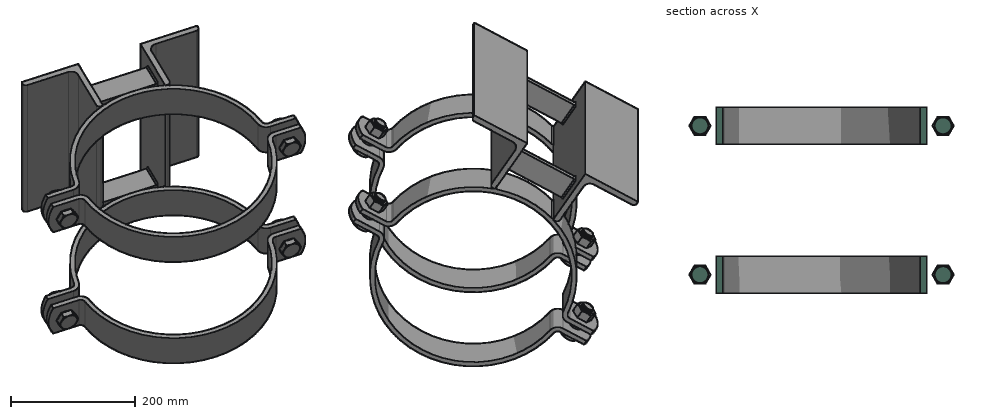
import cadquery as cq
import math

TOTAL_LENGTH_X = 424.0
TOTAL_WIDTH_Y = 452.0
TOTAL_HEIGHT = 300.0

STRAP_OUTER_RADIUS = 167.0
STRAP_THICKNESS = 8.0
STRAP_WIDTH = 60.0
LUG_GAP = 13.5
LUG_BEND_RADIUS = STRAP_THICKNESS
LUG_END_RADIUS = STRAP_WIDTH

BOLT_DIAMETER = 20.0
BOLT_TIP_DIAMETER = 18.5
BOLT_TIP_CHAMFER = 2.0
BOLT_OVERHANG = 4.5
BOLT_EDGE_DISTANCE = STRAP_WIDTH / 2
HEX_ACROSS_FLATS = 30.0
HEX_CHAMFER_SLOPE = math.tan(math.radians(30))
HEAD_HEIGHT = 11.5
HEAD_FACE_DIAMETER = 29.5
WASHER_FACE_DIAMETER = 27.5
WASHER_FACE_HEIGHT = 1.5
NUT_HEIGHT = 16.0
NUT_FACE_DIAMETER = 27.5

ANGLE_LEG = 100.0
ANGLE_THICKNESS = 10.0
ANGLE_ROOT_RADIUS = 12.0
ANGLE_TOE_RADIUS = 6.0
ANGLE_GAP = 109.5

BAR_WIDTH = 40.0
BAR_THICKNESS = 10.0
BAR_SETBACK = 30.0
WELD_LEG = 2.5

STRAP_INNER_RADIUS = STRAP_OUTER_RADIUS - STRAP_THICKNESS
BACK_X = STRAP_OUTER_RADIUS - TOTAL_LENGTH_X
LUG_TIP_Y = TOTAL_WIDTH_Y / 2
BOLT_Y = LUG_TIP_Y - BOLT_EDGE_DISTANCE
LUG_INNER_X = LUG_GAP / 2
LUG_OUTER_X = LUG_INNER_X + STRAP_THICKNESS
ANGLE_FACE_Y = ANGLE_GAP / 2
STRAP_LEVELS = (STRAP_WIDTH / 2, TOTAL_HEIGHT - STRAP_WIDTH / 2)


def bend_points(bend_x, bend_y, radius, end_angle):
    """Start, middle and end of a lug bend, from the lug face to the ring."""
    angles = (math.pi, (math.pi + end_angle) / 2, end_angle)
    return [(bend_x + radius * math.cos(a), bend_y + radius * math.sin(a)) for a in angles]


def strap_half():
    """Half ring on the +X side with a bent, round-ended lug at each end, centred on Z = 0."""
    bend_x = LUG_OUTER_X + LUG_BEND_RADIUS
    bend_y = math.sqrt((STRAP_OUTER_RADIUS + LUG_BEND_RADIUS) ** 2 - bend_x**2)
    ring_angle = math.pi + math.atan2(bend_y, bend_x)
    outer = bend_points(bend_x, bend_y, LUG_BEND_RADIUS, ring_angle)
    inner = bend_points(bend_x, bend_y, LUG_BEND_RADIUS + STRAP_THICKNESS, ring_angle)
    mirrored_outer = [(x, -y) for x, y in outer]
    mirrored_inner = [(x, -y) for x, y in inner]
    body = (
        cq.Workplane("XY")
        .moveTo(LUG_OUTER_X, LUG_TIP_Y)
        .lineTo(*outer[0])
        .threePointArc(outer[1], outer[2])
        .threePointArc((STRAP_OUTER_RADIUS, 0), mirrored_outer[2])
        .threePointArc(mirrored_outer[1], mirrored_outer[0])
        .lineTo(LUG_OUTER_X, -LUG_TIP_Y)
        .lineTo(LUG_INNER_X, -LUG_TIP_Y)
        .lineTo(*mirrored_inner[0])
        .threePointArc(mirrored_inner[1], mirrored_inner[2])
        .threePointArc((STRAP_INNER_RADIUS, 0), inner[2])
        .threePointArc(inner[1], inner[0])
        .lineTo(LUG_INNER_X, LUG_TIP_Y)
        .close()
        .extrude(STRAP_WIDTH / 2, both=True)
    )
    half_width = STRAP_WIDTH / 2
    corner_y = LUG_TIP_Y - LUG_END_RADIUS + math.sqrt(LUG_END_RADIUS**2 - half_width**2)
    side_outline = (
        cq.Workplane("YZ")
        .moveTo(-corner_y, -half_width)
        .lineTo(corner_y, -half_width)
        .threePointArc((LUG_TIP_Y, 0), (corner_y, half_width))
        .lineTo(-corner_y, half_width)
        .threePointArc((-LUG_TIP_Y, 0), (-corner_y, -half_width))
        .close()
        .extrude(STRAP_OUTER_RADIUS)
    )
    return body.intersect(side_outline)


def hexagon(height, face_diameter):
    """Hexagonal prism along +X from X = 0, flats up and down, far corners chamfered."""
    corner_diameter = HEX_ACROSS_FLATS / math.cos(math.pi / 6)
    corner_radius = corner_diameter / 2
    face_radius = face_diameter / 2
    chamfer_depth = (corner_radius - face_radius) * HEX_CHAMFER_SLOPE
    prism = cq.Workplane("YZ").polygon(6, corner_diameter).extrude(height)
    envelope = (
        cq.Workplane("XY")
        .polyline(
            [
                (0, 0),
                (0, corner_radius),
                (height - chamfer_depth, corner_radius),
                (height, face_radius),
                (height, 0),
            ]
        )
        .close()
        .revolve(360, (0, 0, 0), (1, 0, 0))
    )
    return prism.intersect(envelope)


def bolt_with_nut():
    """Bolt along X through a pair of lugs: head on the +X side, nut on the -X side."""
    head_x = LUG_OUTER_X + WASHER_FACE_HEIGHT
    head = hexagon(HEAD_HEIGHT, HEAD_FACE_DIAMETER).translate((head_x, 0, 0))
    washer_face = (
        cq.Workplane("YZ", origin=(LUG_OUTER_X, 0, 0))
        .circle(WASHER_FACE_DIAMETER / 2)
        .extrude(WASHER_FACE_HEIGHT)
    )
    nut = hexagon(NUT_HEIGHT, NUT_FACE_DIAMETER).mirror("YZ").translate((-LUG_OUTER_X, 0, 0))
    tip_x = -LUG_OUTER_X - NUT_HEIGHT - BOLT_OVERHANG
    shank = (
        cq.Workplane("XY")
        .polyline(
            [
                (tip_x, 0),
                (tip_x, BOLT_TIP_DIAMETER / 2),
                (tip_x + BOLT_TIP_CHAMFER, BOLT_DIAMETER / 2),
                (LUG_OUTER_X, BOLT_DIAMETER / 2),
                (LUG_OUTER_X, 0),
            ]
        )
        .close()
        .revolve(360, (0, 0, 0), (1, 0, 0))
    )
    return shank.union(washer_face).union(head).union(nut)


def clamp():
    """Two strap halves bolted together, centred on Z = 0."""
    half = strap_half()
    body = half.union(half.mirror("YZ"))
    bolt = bolt_with_nut()
    for side in (1, -1):
        body = body.union(bolt.translate((0, side * BOLT_Y, 0)))
    return body


def angle():
    """Full-height angle on the +Y side, its heel at the back and one leg toward the clamp."""
    inner_x = BACK_X + ANGLE_THICKNESS
    inner_y = ANGLE_FACE_Y + ANGLE_THICKNESS
    toe_x = BACK_X + ANGLE_LEG
    toe_y = ANGLE_FACE_Y + ANGLE_LEG
    body = (
        cq.Workplane("XY")
        .polyline(
            [
                (BACK_X, ANGLE_FACE_Y),
                (toe_x, ANGLE_FACE_Y),
                (toe_x, inner_y),
                (inner_x, inner_y),
                (inner_x, toe_y),
                (BACK_X, toe_y),
            ]
        )
        .close()
        .extrude(TOTAL_HEIGHT)
    )

    def upright_edge(x, y):
        return cq.selectors.NearestToPointSelector((x, y, TOTAL_HEIGHT / 2))

    body = body.edges(upright_edge(inner_x, inner_y)).fillet(ANGLE_ROOT_RADIUS)
    for x, y in ((toe_x, inner_y), (inner_x, toe_y)):
        body = body.edges(upright_edge(x, y)).fillet(ANGLE_TOE_RADIUS)
    return body


def strap_weld():
    """Weld bead between the +Y angle's leg and the strap, centred on Z = 0."""
    toe_x = BACK_X + ANGLE_LEG
    bead_y = ANGLE_FACE_Y - WELD_LEG
    strap_x = -math.sqrt(STRAP_OUTER_RADIUS**2 - bead_y**2)
    root_x = toe_x + STRAP_THICKNESS / 2
    return (
        cq.Workplane("XY")
        .polyline(
            [
                (toe_x - WELD_LEG, ANGLE_FACE_Y),
                (root_x, ANGLE_FACE_Y),
                (strap_x, bead_y),
            ]
        )
        .close()
        .extrude(STRAP_WIDTH / 2, both=True)
    )


def tie_bar():
    """Flat bar spanning the two angles, centred on Z = 0, with weld beads above and below each end."""
    bar_x = BACK_X + BAR_SETBACK
    bar_centre = (bar_x + BAR_WIDTH / 2, 0, 0)
    bar = cq.Workplane("XY", origin=bar_centre).box(BAR_WIDTH, ANGLE_GAP, BAR_THICKNESS)
    flared_half_height = BAR_THICKNESS / 2 + WELD_LEG
    beads = (
        cq.Workplane("YZ", origin=(bar_x, 0, 0))
        .polyline(
            [
                (ANGLE_FACE_Y, -flared_half_height),
                (ANGLE_FACE_Y, flared_half_height),
                (ANGLE_FACE_Y - WELD_LEG, BAR_THICKNESS / 2),
                (ANGLE_FACE_Y - WELD_LEG, -BAR_THICKNESS / 2),
            ]
        )
        .close()
        .extrude(BAR_WIDTH)
    )
    return bar.union(beads).union(beads.mirror("XZ"))


support = angle()
result = support.union(support.mirror("XZ"))
weld = strap_weld()
level_assembly = clamp().union(tie_bar()).union(weld).union(weld.mirror("XZ"))
for level in STRAP_LEVELS:
    result = result.union(level_assembly.translate((0, 0, level)))